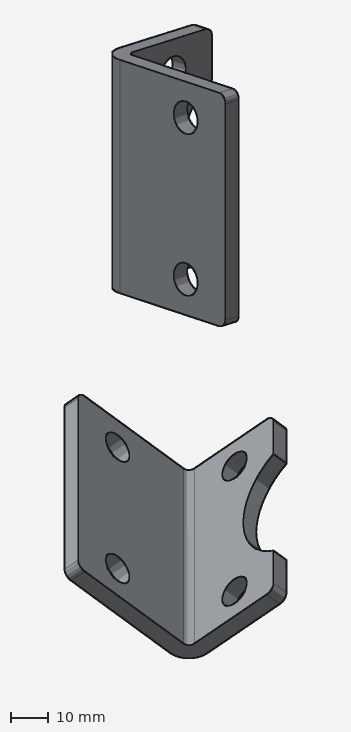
import cadquery as cq

width = 47.0
depth = 36.0
height = 65.0
thickness = 5.0
inner_bend_radius = 2.0
outer_bend_radius = inner_bend_radius + thickness
corner_radius = 2.5

hole_diameter = 9.0
front_hole_x = 32.0
front_hole_spacing = 45.0
side_hole_y = 21.8
side_hole_spacing = 46.4

cutout_radius = 20.0
cutout_center_y = 45.0


def bent_plate():
    """L-shaped plate: front flange along X, side flange along Y, centred on Z = 0."""
    profile = (
        cq.Workplane("XY")
        .workplane(offset=-height / 2)
        .polyline([
            (0, 0),
            (width, 0),
            (width, thickness),
            (thickness, thickness),
            (thickness, depth),
            (0, depth),
        ])
        .close()
    )
    plate = profile.extrude(height)
    plate = plate.edges(cq.selectors.NearestToPointSelector((0, 0, 0))).fillet(outer_bend_radius)
    inner_corner = cq.selectors.NearestToPointSelector((thickness, thickness, 0))
    return plate.edges(inner_corner).fillet(inner_bend_radius)


def round_free_corners(plate):
    plate = plate.faces(">X").edges("|Y").fillet(corner_radius)
    return plate.faces(">Y").edges("|X").fillet(corner_radius)


def front_holes():
    """Cutters through the front flange, running along +Y."""
    return (
        cq.Workplane("XZ")
        .pushPoints([(front_hole_x, side * front_hole_spacing / 2) for side in (-1, 1)])
        .circle(hole_diameter / 2)
        .extrude(-thickness)
    )


def side_holes():
    """Cutters through the side flange, running along +X."""
    return (
        cq.Workplane("YZ")
        .pushPoints([(side_hole_y, side * side_hole_spacing / 2) for side in (-1, 1)])
        .circle(hole_diameter / 2)
        .extrude(thickness)
    )


def edge_cutout():
    return cq.Workplane("YZ").center(cutout_center_y, 0).circle(cutout_radius).extrude(thickness)


result = (
    round_free_corners(bent_plate())
    .cut(front_holes())
    .cut(side_holes())
    .cut(edge_cutout())
)